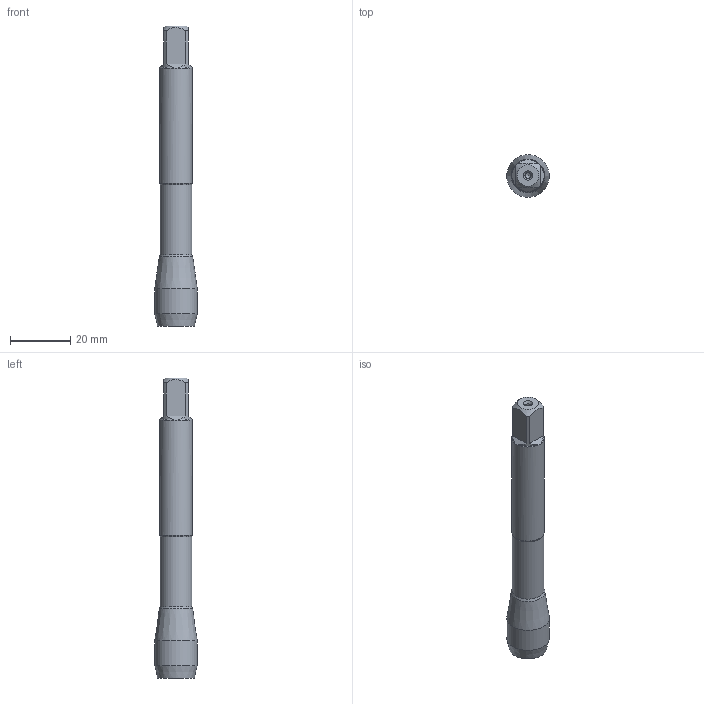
import cadquery as cq
import math

overall_length = 100.0

head_diameter = 14.18
nose_diameter = 12.3
nose_length = 4.15
land_top = 12.35
head_top = 23.0
head_top_diameter = 11.2

neck_diameter = 10.5
neck_bottom = 23.8
neck_top = 47.1
shank_diameter = 10.9
shank_bottom = 47.6
shank_top = 86.0

square_width = 8.2
square_round_diameter = 10.5
square_bottom = 87.3
ramp_angle = 45.0
tip_diameter = 7.2
tip_chamfer = (square_round_diameter - tip_diameter) / 2
shoulder_height = 0.25

centre_hole_diameter = 2.0
centre_mouth_diameter = 3.1
centre_mouth_angle = 60.0
centre_point_angle = 120.0
centre_hole_depth = 3.0


def cone_height(large_diameter, small_diameter, included_angle):
    """Height over which a cone narrows from the large to the small diameter."""
    half_angle = math.radians(included_angle / 2)
    return (large_diameter - small_diameter) / 2 / math.tan(half_angle)


def revolve_profile(sections):
    """Turn a closed outline of (diameter, height) points about the Z axis."""
    outline = [(diameter / 2, height) for diameter, height in sections]
    profile = cq.Workplane("XZ").polyline(outline).close()
    return profile.revolve(360, (0, 0, 0), (0, 1, 0))


def make_head():
    return revolve_profile([
        (0, 0),
        (nose_diameter, 0),
        (head_diameter, nose_length),
        (head_diameter, land_top),
        (head_top_diameter, head_top),
        (0, head_top),
    ])


def make_turned_shank():
    return revolve_profile([
        (0, head_top),
        (head_top_diameter, head_top),
        (neck_diameter, neck_bottom),
        (neck_diameter, neck_top),
        (shank_diameter, shank_bottom),
        (shank_diameter, shank_top),
        (square_round_diameter, shank_top + shoulder_height),
        (square_round_diameter, overall_length - tip_chamfer),
        (tip_diameter, overall_length),
        (0, overall_length),
    ])


def make_flat_cutter():
    """Material outside the +X flat, with a sloping floor that runs out through the shank surface."""
    flat = square_width / 2
    reach = shank_diameter
    ramp_drop = (reach - flat) * math.tan(math.radians(ramp_angle))
    outline = [
        (flat, overall_length),
        (flat, square_bottom),
        (reach, square_bottom - ramp_drop),
        (reach, overall_length),
    ]
    return cq.Workplane("XZ").polyline(outline).close().extrude(shank_diameter / 2, both=True)


def make_centre_hole():
    mouth_depth = cone_height(centre_mouth_diameter, centre_hole_diameter, centre_mouth_angle)
    mouth_bottom = overall_length - mouth_depth
    hole_bottom = overall_length - centre_hole_depth
    point_bottom = hole_bottom - cone_height(centre_hole_diameter, 0, centre_point_angle)
    return revolve_profile([
        (0, point_bottom),
        (centre_hole_diameter, hole_bottom),
        (centre_hole_diameter, mouth_bottom),
        (centre_mouth_diameter, overall_length),
        (0, overall_length),
    ])


def make_shank():
    shank = make_turned_shank()
    flat_cutter = make_flat_cutter()
    for angle in (0, 90, 180, 270):
        shank = shank.cut(flat_cutter.rotate((0, 0, 0), (0, 0, 1), angle))
    return shank.cut(make_centre_hole())


head = make_head()
shank = make_shank()
result = cq.Compound.makeCompound([head.val(), shank.val()])